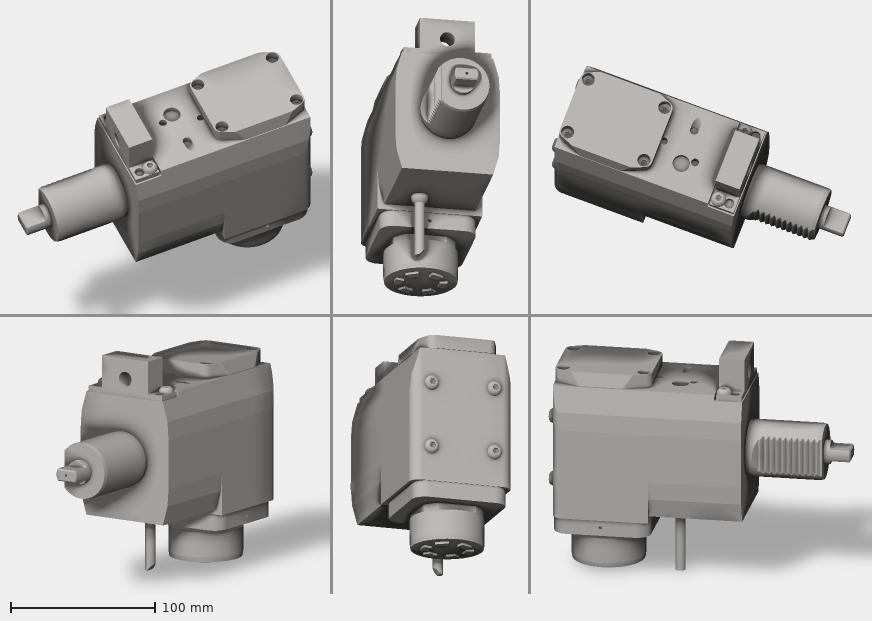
import cadquery as cq
import math


OVERLAP = 0.5
CLEARANCE = 1.0

BODY_WIDTH = 74.0
BODY_LENGTH = 133.75
BODY_TOP = 47.8
BODY_SHOULDER = 43.8
HEAD_BOTTOM = -47.6
SIDE_FLAT_Z = 17.3
BEVEL_Z = 30.0
BEVEL_HALF_WIDTH = 36.1
SHOULDER_HALF_WIDTH = 32.2
REAR_CORNER_RADIUS = 7.5
STEP_LENGTH = 19.8
SIDE_SLOPE = (BEVEL_HALF_WIDTH - SHOULDER_HALF_WIDTH) / (BODY_SHOULDER - BEVEL_Z)

HEAD_SQUARE = 68.2
SPINDLE_Y = BODY_LENGTH - HEAD_SQUARE / 2
HEAD_FRONT = BODY_LENGTH - HEAD_SQUARE
SEAM_INSET = 0.6

COVER_BOTTOM = 48.4
COVER_TOP = 57.8
COVER_SIDE_HALF = 15.3
COVER_CORNER_ANGLE = 22.0
COVER_CORNER_RADIUS = 5.5
COVER_HOLE_X = 20.2
COVER_HOLE_Y = 28.4
COVER_BORE_DIAMETER = 9.0
COVER_BORE_DEPTH = 7.0
COVER_SOCKET_RIM = 6.0
COVER_SOCKET_SIZE = 4.0
COVER_SOCKET_DEPTH = 1.8
COVER_RIM_DEPTH = 0.5

FLANGE_TOP = -48.7
FLANGE_BOTTOM = -59.6
FLANGE_CORNER_RADIUS = 10.0
FLANGE_HOLE_Z = -53.9
FLANGE_HOLE_DIAMETER = 2.5
FLANGE_HOLE_DEPTH = 4.0
NUT_DIAMETER = 52.0
NECK_ACROSS_FLATS = 44.0
NECK_BOTTOM = -64.6
NUT_TAPER_TOP = -82.3
NUT_BOTTOM = -85.7
NUT_TAPER = 0.5
LUG_COUNT = 6
LUG_BOTTOM = -87.3
LUG_INNER_RADIUS = 13.0
LUG_OUTER_RADIUS = 18.7
LUG_ANGLE = 30.0

SHANK_DIAMETER = 40.0
SHANK_LENGTH = 53.0
SHANK_ROOT_DIAMETER = 38.8
SHANK_ROOT_LENGTH = 1.6
SHANK_ROOT_TAPER_END = 3.4
SHANK_TIP_TAPER = 2.7
SHANK_TIP_DIAMETER = 38.8
RACK_CREST_X = -16.3
RACK_DEPTH = 2.0
RACK_RUNOUT_Y = -4.7
RACK_FIRST_ROOT_Y = -11.7
RACK_PITCH = 4.0
RACK_TOOTH_COUNT = 11
RACK_CREST_WIDTH = 0.3

TANG_DIAMETER = 17.0
TANG_TIP_Y = -71.9
TANG_COLLAR_END_Y = -57.1
TANG_COLLAR_CHAMFER = 0.6
TANG_THICKNESS = 8.6
TANG_FILLET = 1.8
TANG_CHAMFER = 0.9
TANG_HOLE_DIAMETER = 2.1
TANG_HOLE_DEPTH = 4.0

BLOCK_TOP = 70.7
BLOCK_HALF_WIDTH = 19.4
BLOCK_FRONT_Y = 0.7
BLOCK_REAR_Y = 18.5
PLATE_HALF_WIDTH = 31.0
PLATE_TOP = 47.7
BLOCK_HOLE_DIAMETER = 10.5
BLOCK_HOLE_Z = 56.0
PLATE_HOLE_DIAMETER = 7.0
PLATE_HOLE_X = 25.8
PLATE_HOLE_Y = 5.9
PLATE_SCREW_X = 25.7
PLATE_SCREW_Y = 13.8

SCREW_DIAMETER = 10.5
SCREW_FLAT_DIAMETER = 6.37
SCREW_HEIGHT = 3.65
SCREW_RIM = 0.5
SCREW_BULGE = 0.4
SCREW_SOCKET_SIZE = 4.0
SCREW_SOCKET_DEPTH = 2.0
SOCKET_FLOOR_ANGLE = 30.0
REAR_SCREW_OFFSET = 23.0

PIPE_X = -10.8
PIPE_Y = 47.2
PIPE_DIAMETER = 7.0
PIPE_BOTTOM = -88.8
PIPE_BALL_DIAMETER = 12.0
PIPE_BALL_Z = -44.8
PIPE_CUT_WIDTH = 4.2
PIPE_CUT_HEIGHT = 4.6

PLUG_HOLE_DIAMETER = 12.0
PLUG_HOLE_DEPTH = 4.0
PIN_HOLE_X = -6.7
PIN_HOLE_Y = 38.5
PIN_HOLE_DIAMETER = 5.5
NOTCH_HOLE_Y = 64.0
NOTCH_HOLE_DIAMETER = 5.0
SMALL_HOLE_DEPTH = 6.0
SLANT_HOLE_DIAMETER = 6.0
SLANT_MOUTH_LEFT = 11.5
SLANT_MOUTH_RIGHT = 23.9


def box(x_range, y_range, z_range):
    """Axis-aligned block given by its limits."""
    size = [high - low for low, high in (x_range, y_range, z_range)]
    corner = (x_range[0], y_range[0], z_range[0])
    return cq.Workplane("XY").box(*size, centered=False).translate(corner)


def rod(diameter, start, direction, length):
    """Round bar from a start point along a direction."""
    solid = cq.Solid.makeCylinder(diameter / 2, length, cq.Vector(*start), cq.Vector(*direction))
    return cq.Workplane(solid)


def turned_on_y(profile):
    """Turn a closed (radius, y) profile about the Y axis."""
    return cq.Workplane("XY").polyline(profile).close().revolve(360, (0, 0, 0), (0, 1, 0))


def turned_on_spindle(profile):
    """Turn a closed (radius, z) profile about the spindle axis."""
    turned = cq.Workplane("XZ").polyline(profile).close().revolve(360, (0, 0, 0), (0, 1, 0))
    return turned.translate((0, SPINDLE_Y, 0))


def square_prism(side, bottom, top, corner_radius):
    """Rounded square prism centred on the spindle axis."""
    prism = cq.Workplane("XY").rect(side, side).extrude(top - bottom)
    return prism.edges("|Z").fillet(corner_radius).translate((0, SPINDLE_Y, bottom))


def hex_socket(across_flats, depth):
    """Socket cutter hanging down from the origin, with a conical floor."""
    across_corners = across_flats / math.cos(math.radians(30))
    bar = cq.Workplane("XY").polygon(6, across_corners).extrude(-depth)
    radius = across_flats / 2
    tip_length = radius * math.tan(math.radians(SOCKET_FLOOR_ANGLE))
    cone = cq.Solid.makeCone(radius, 0, tip_length, cq.Vector(0, 0, -depth), cq.Vector(0, 0, -1))
    return bar.union(cq.Workplane(cone))


def side_half_width(z):
    """Half width of the upper bevel plane at a height."""
    return BEVEL_HALF_WIDTH - SIDE_SLOPE * (z - BEVEL_Z)


def button_screw():
    """Domed screw head standing on the origin, with a hexagon socket."""
    rim_radius = SCREW_DIAMETER / 2
    flat_radius = SCREW_FLAT_DIAMETER / 2
    dome_middle = (
        (rim_radius + flat_radius) / 2 + SCREW_BULGE,
        (SCREW_RIM + SCREW_HEIGHT) / 2 + SCREW_BULGE,
    )
    head = (
        cq.Workplane("XZ")
        .moveTo(0, -OVERLAP)
        .lineTo(rim_radius, -OVERLAP)
        .lineTo(rim_radius, SCREW_RIM)
        .threePointArc(dome_middle, (flat_radius, SCREW_HEIGHT))
        .lineTo(0, SCREW_HEIGHT)
        .close()
        .revolve(360, (0, 0, 0), (0, 1, 0))
    )
    socket = hex_socket(SCREW_SOCKET_SIZE, SCREW_SOCKET_DEPTH).translate((0, 0, SCREW_HEIGHT))
    return head.cut(socket)


def housing():
    half = BODY_WIDTH / 2
    right_side = [
        (SHOULDER_HALF_WIDTH, -BODY_SHOULDER),
        (BEVEL_HALF_WIDTH, -BEVEL_Z),
        (half, -SIDE_FLAT_Z),
        (half, SIDE_FLAT_Z),
        (BEVEL_HALF_WIDTH, BEVEL_Z),
        (side_half_width(BODY_TOP), BODY_TOP),
    ]
    left_side = [(-x, z) for x, z in reversed(right_side)]
    body = cq.Workplane("XZ").polyline(right_side + left_side).close().extrude(-BODY_LENGTH)
    body = body.union(box((-half, half), (HEAD_FRONT, BODY_LENGTH), (HEAD_BOTTOM, SIDE_FLAT_Z)))
    envelope = box((-half, half), (0, BODY_LENGTH), (HEAD_BOTTOM, BODY_TOP))
    body = body.intersect(envelope.edges("|Z and >Y").fillet(REAR_CORNER_RADIUS))
    step = box(
        (-half, half),
        (-CLEARANCE, STEP_LENGTH),
        (BODY_SHOULDER, BODY_TOP + CLEARANCE),
    )
    return body.cut(step)


def top_holes():
    def drill(diameter, x, y, depth):
        return rod(diameter, (x, y, BODY_TOP), (0, 0, -1), depth)

    holes = drill(PLUG_HOLE_DIAMETER, PIPE_X, PIPE_Y, PLUG_HOLE_DEPTH)
    holes = holes.union(drill(PIN_HOLE_DIAMETER, PIN_HOLE_X, PIN_HOLE_Y, SMALL_HOLE_DEPTH))
    return holes.union(drill(NOTCH_HOLE_DIAMETER, 0, NOTCH_HOLE_Y, SMALL_HOLE_DEPTH))


def slanted_hole():
    """Hole sloping down towards -X that ends in a short vertical pocket."""
    mouth = SLANT_MOUTH_RIGHT - SLANT_MOUTH_LEFT
    middle_x = (SLANT_MOUTH_RIGHT + SLANT_MOUTH_LEFT) / 2
    rise = SLANT_HOLE_DIAMETER / mouth
    run = math.sqrt(1 - rise**2)
    pocket_x = SLANT_MOUTH_LEFT + SLANT_HOLE_DIAMETER / 2
    depth = (middle_x - pocket_x) * rise / run
    upper = (middle_x + mouth * run, PIPE_Y, BODY_TOP + mouth * rise)
    bore_length = mouth + math.hypot(middle_x - pocket_x, depth)
    bore = rod(SLANT_HOLE_DIAMETER, upper, (-run, 0, -rise), bore_length)
    pocket_depth = depth + SLANT_HOLE_DIAMETER / 2
    pocket = rod(SLANT_HOLE_DIAMETER, (pocket_x, PIPE_Y, BODY_TOP), (0, 0, -1), pocket_depth)
    return bore.union(pocket)


def rear_screws():
    screw = button_screw().rotate((0, 0, 0), (1, 0, 0), -90)
    screws = cq.Workplane("XY")
    for x in (-REAR_SCREW_OFFSET, REAR_SCREW_OFFSET):
        for z in (-REAR_SCREW_OFFSET, REAR_SCREW_OFFSET):
            screws = screws.union(screw.translate((x, BODY_LENGTH, z)))
    return screws


def cover_plan(inset):
    """Eight-sided cover outline around the origin, shrunk by an inset."""
    half_x = side_half_width(COVER_BOTTOM) - inset
    half_y = HEAD_SQUARE / 2 - inset
    back_x = half_x - (half_y - COVER_SIDE_HALF) * math.tan(math.radians(COVER_CORNER_ANGLE))
    quarter = [(half_x, COVER_SIDE_HALF), (back_x, half_y)]
    rear = quarter + [(-x, y) for x, y in reversed(quarter)]
    return rear + [(-x, -y) for x, y in rear]


def cover_prism(inset, bottom, top):
    prism = cq.Workplane("XY").polyline(cover_plan(inset)).close().extrude(top - bottom)
    prism = prism.edges("|Z and (>Y or <Y)").fillet(COVER_CORNER_RADIUS - inset)
    return prism.translate((0, SPINDLE_Y, bottom))


def cover_screw_hole():
    """Counterbore hanging from the origin with the screw's socket in its floor."""
    bore = rod(COVER_BORE_DIAMETER, (0, 0, 0), (0, 0, -1), COVER_BORE_DEPTH)
    rim = rod(COVER_SOCKET_RIM, (0, 0, -COVER_BORE_DEPTH), (0, 0, -1), COVER_RIM_DEPTH)
    socket = hex_socket(COVER_SOCKET_SIZE, COVER_BORE_DEPTH + COVER_SOCKET_DEPTH)
    return bore.union(rim).union(socket)


def cover():
    foot = side_half_width(COVER_BOTTOM)
    head = side_half_width(COVER_TOP)
    outline = [(-foot, COVER_BOTTOM), (foot, COVER_BOTTOM), (head, COVER_TOP), (-head, COVER_TOP)]
    tapered = cq.Workplane("XZ").polyline(outline).close().extrude(-BODY_LENGTH)
    plate = cover_prism(0, COVER_BOTTOM, COVER_TOP).intersect(tapered)
    plate = plate.union(cover_prism(SEAM_INSET, BODY_TOP - OVERLAP, COVER_BOTTOM + OVERLAP))
    for x in (-COVER_HOLE_X, COVER_HOLE_X):
        for y in (SPINDLE_Y - COVER_HOLE_Y, SPINDLE_Y + COVER_HOLE_Y):
            plate = plate.cut(cover_screw_hole().translate((x, y, COVER_TOP)))
    return plate


def flange():
    plate = square_prism(HEAD_SQUARE, FLANGE_BOTTOM, FLANGE_TOP, FLANGE_CORNER_RADIUS)
    seam = square_prism(
        HEAD_SQUARE - 2 * SEAM_INSET,
        FLANGE_TOP - OVERLAP,
        HEAD_BOTTOM + OVERLAP,
        FLANGE_CORNER_RADIUS - SEAM_INSET,
    )
    plate = plate.union(seam)
    reach = HEAD_SQUARE / 2
    for dx, dy in ((1, 0), (-1, 0), (0, -1)):
        start = (dx * reach, SPINDLE_Y + dy * reach, FLANGE_HOLE_Z)
        plate = plate.cut(rod(FLANGE_HOLE_DIAMETER, start, (-dx, -dy, 0), FLANGE_HOLE_DEPTH))
    return plate


def spindle_nut():
    radius = NUT_DIAMETER / 2
    nut = turned_on_spindle([
        (0, FLANGE_BOTTOM + OVERLAP),
        (radius, FLANGE_BOTTOM + OVERLAP),
        (radius, NUT_TAPER_TOP),
        (radius - NUT_TAPER, NUT_BOTTOM),
        (0, NUT_BOTTOM),
    ])
    neck_height = FLANGE_BOTTOM + OVERLAP - NECK_BOTTOM
    band = cq.Workplane("XY").rect(NUT_DIAMETER + CLEARANCE, NUT_DIAMETER + CLEARANCE)
    band = band.rect(NECK_ACROSS_FLATS, NECK_ACROSS_FLATS).extrude(neck_height)
    return nut.cut(band.translate((0, SPINDLE_Y, NECK_BOTTOM)))


def nut_lugs():
    """Ring of segments standing out of the nut face."""
    def rim_point(radius, angle):
        turn = math.radians(angle)
        return (radius * math.cos(turn), radius * math.sin(turn))

    half = LUG_ANGLE / 2
    lug = (
        cq.Workplane("XY")
        .moveTo(*rim_point(LUG_INNER_RADIUS, -half))
        .lineTo(*rim_point(LUG_OUTER_RADIUS, -half))
        .threePointArc((LUG_OUTER_RADIUS, 0), rim_point(LUG_OUTER_RADIUS, half))
        .lineTo(*rim_point(LUG_INNER_RADIUS, half))
        .threePointArc((LUG_INNER_RADIUS, 0), rim_point(LUG_INNER_RADIUS, -half))
        .close()
        .extrude(NUT_BOTTOM + OVERLAP - LUG_BOTTOM)
        .translate((0, 0, LUG_BOTTOM))
    )
    lugs = cq.Workplane("XY")
    for index in range(LUG_COUNT):
        lugs = lugs.union(lug.rotate((0, 0, 0), (0, 0, 1), index * 360 / LUG_COUNT))
    return lugs.translate((0, SPINDLE_Y, 0))


def shank():
    radius = SHANK_DIAMETER / 2
    root_radius = SHANK_ROOT_DIAMETER / 2
    return turned_on_y([
        (0, OVERLAP),
        (root_radius, OVERLAP),
        (root_radius, -SHANK_ROOT_LENGTH),
        (radius, -SHANK_ROOT_TAPER_END),
        (radius, SHANK_TIP_TAPER - SHANK_LENGTH),
        (SHANK_TIP_DIAMETER / 2, -SHANK_LENGTH),
        (0, -SHANK_LENGTH),
    ])


def rack_cutter():
    """Flat with a 45 degree run-out and a row of V grooves, on the -X side."""
    outer_x = -SHANK_DIAMETER / 2
    end_y = -SHANK_LENGTH - RACK_PITCH
    root_x = RACK_CREST_X + RACK_DEPTH
    half_groove = (RACK_PITCH - RACK_CREST_WIDTH) / 2
    outline = [
        (outer_x - CLEARANCE, RACK_RUNOUT_Y + CLEARANCE),
        (RACK_CREST_X, RACK_RUNOUT_Y + outer_x - RACK_CREST_X),
    ]
    for index in range(RACK_TOOTH_COUNT):
        root_y = RACK_FIRST_ROOT_Y - index * RACK_PITCH
        outline.append((RACK_CREST_X, root_y + half_groove))
        outline.append((root_x, root_y))
        outline.append((RACK_CREST_X, root_y - half_groove))
    outline[-1] = (root_x, end_y)
    outline.append((outer_x - CLEARANCE, end_y))
    return cq.Workplane("XY").polyline(outline).close().extrude(SHANK_DIAMETER / 2, both=True)


def tang():
    radius = TANG_DIAMETER / 2
    half = TANG_THICKNESS / 2
    bar = turned_on_y([
        (0, OVERLAP - SHANK_LENGTH),
        (radius, OVERLAP - SHANK_LENGTH),
        (radius, TANG_TIP_Y + TANG_CHAMFER),
        (radius - TANG_CHAMFER, TANG_TIP_Y),
        (0, TANG_TIP_Y),
    ])
    fillet_middle = TANG_FILLET * (1 - math.sqrt(0.5))
    relief = (
        cq.Workplane("YZ")
        .moveTo(TANG_TIP_Y, half - TANG_CHAMFER)
        .lineTo(TANG_TIP_Y + TANG_CHAMFER, half)
        .lineTo(TANG_COLLAR_END_Y - TANG_FILLET, half)
        .threePointArc(
            (TANG_COLLAR_END_Y - fillet_middle, half + fillet_middle),
            (TANG_COLLAR_END_Y, half + TANG_FILLET),
        )
        .lineTo(TANG_COLLAR_END_Y, radius - TANG_COLLAR_CHAMFER)
        .lineTo(TANG_COLLAR_END_Y + TANG_COLLAR_CHAMFER, radius)
        .lineTo(TANG_COLLAR_END_Y + TANG_COLLAR_CHAMFER, radius + CLEARANCE)
        .lineTo(TANG_TIP_Y - CLEARANCE, radius + CLEARANCE)
        .lineTo(TANG_TIP_Y - CLEARANCE, half - TANG_CHAMFER)
        .close()
        .extrude(radius, both=True)
    )
    bar = bar.cut(relief).cut(relief.mirror("XY"))
    return bar.cut(rod(TANG_HOLE_DIAMETER, (0, TANG_TIP_Y, 0), (0, 1, 0), TANG_HOLE_DEPTH))


def locating_block():
    depth_range = (BLOCK_FRONT_Y, BLOCK_REAR_Y)
    plate = box(
        (-PLATE_HALF_WIDTH, PLATE_HALF_WIDTH),
        depth_range,
        (BODY_SHOULDER, PLATE_TOP),
    )
    block = box((-BLOCK_HALF_WIDTH, BLOCK_HALF_WIDTH), depth_range, (BODY_SHOULDER, BLOCK_TOP))
    block = block.cut(rod(BLOCK_HOLE_DIAMETER, (0, 0, BLOCK_HOLE_Z), (0, 1, 0), STEP_LENGTH))
    block = block.union(plate)
    for side in (-1, 1):
        hole_top = (side * PLATE_HOLE_X, PLATE_HOLE_Y, PLATE_TOP)
        block = block.cut(rod(PLATE_HOLE_DIAMETER, hole_top, (0, 0, -1), PLATE_TOP - BODY_SHOULDER))
        screw_place = (side * PLATE_SCREW_X, PLATE_SCREW_Y, PLATE_TOP)
        block = block.union(button_screw().translate(screw_place))
    return block


def coolant_pipe():
    pipe = rod(PIPE_DIAMETER, (0, 0, PIPE_BOTTOM), (0, 0, 1), PIPE_BALL_Z - PIPE_BOTTOM)
    right = PIPE_DIAMETER / 2
    mouth_cut = (
        cq.Workplane("XZ")
        .polyline([
            (right, PIPE_BOTTOM),
            (right, PIPE_BOTTOM + PIPE_CUT_HEIGHT),
            (right - PIPE_CUT_WIDTH, PIPE_BOTTOM),
        ])
        .close()
        .extrude(PIPE_DIAMETER, both=True)
    )
    ball = cq.Workplane("XY").sphere(PIPE_BALL_DIAMETER / 2).translate((0, 0, PIPE_BALL_Z))
    return pipe.cut(mouth_cut).union(ball).translate((PIPE_X, PIPE_Y, 0))


result = housing().cut(top_holes()).cut(slanted_hole())
attachments = (
    rear_screws(),
    cover(),
    flange(),
    spindle_nut(),
    nut_lugs(),
    shank().cut(rack_cutter()),
    tang(),
    locating_block(),
    coolant_pipe(),
)
for attachment in attachments:
    result = result.union(attachment)